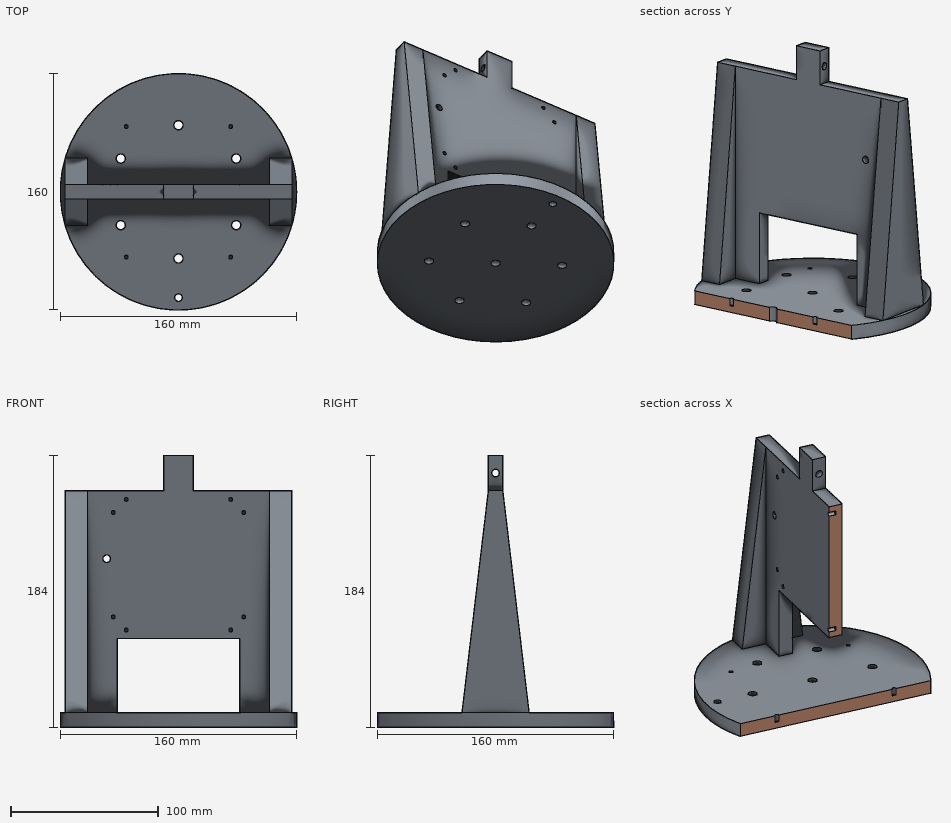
import cadquery as cq
import math

base_diameter = 160.0
base_thickness = 10.0

total_height = 184.0
tab_height = 24.0
plate_top = total_height - tab_height
plate_thickness = 10.0
plate_width = 153.5

window_width = 82.6
window_height = 50.0

rib_width = 15.0
rib_foot_half_depth = math.sqrt((base_diameter / 2) ** 2 - (plate_width / 2) ** 2)

tab_width = 20.0
locating_hole_diameter = 5.0

bolt_count = 6
bolt_circle_radius = 45.0
bolt_hole_diameter = 6.0
base_locating_y = -71.5

screw_hole_diameter = 2.5
screw_hole_depth = 5.0
screw_near = 35.3
screw_far = 44.2
plate_pattern_z = plate_top - 50.0

plate_locating_x = -48.5
plate_locating_z = 114.0


def mirrored(x, y):
    """Four points at every sign combination of x and y."""
    return [(sx * x, sy * y) for sx in (-1, 1) for sy in (-1, 1)]


def make_base():
    disc = cq.Workplane("XY").circle(base_diameter / 2).extrude(base_thickness)
    top = disc.faces(">Z").workplane(origin=(0, 0, base_thickness))
    drilled = top.polarArray(bolt_circle_radius, 90, 360, bolt_count).hole(bolt_hole_diameter)
    top = drilled.faces(">Z").workplane(origin=(0, 0, base_thickness))
    drilled = top.pushPoints([(0, base_locating_y)]).hole(locating_hole_diameter)
    top = drilled.faces(">Z").workplane(origin=(0, 0, base_thickness))
    drilled = top.hole(bolt_hole_diameter)
    screws = (
        cq.Workplane("XY", origin=(0, 0, base_thickness))
        .pushPoints(mirrored(screw_near, screw_far))
        .circle(screw_hole_diameter / 2)
        .extrude(-screw_hole_depth)
    )
    return drilled.cut(screws)


def make_plate():
    centered_xy = (True, True, False)
    on_base = cq.Workplane("XY", origin=(0, 0, base_thickness))
    plate = on_base.box(plate_width, plate_thickness, plate_top - base_thickness, centered=centered_xy)
    window = on_base.box(window_width, plate_thickness, window_height, centered=centered_xy)
    screws = (
        cq.Workplane("XZ", origin=(0, -plate_thickness / 2, plate_pattern_z))
        .pushPoints(mirrored(screw_near, screw_far) + mirrored(screw_far, screw_near))
        .circle(screw_hole_diameter / 2)
        .extrude(-screw_hole_depth)
    )
    locating_hole = (
        cq.Workplane("XZ")
        .center(plate_locating_x, plate_locating_z)
        .circle(locating_hole_diameter / 2)
        .extrude(plate_thickness, both=True)
    )
    return plate.cut(window).cut(screws).cut(locating_hole)


def make_rib(start_x):
    """Trapezoidal rib, from start_x towards +X, narrowing to the plate thickness."""
    return (
        cq.Workplane("YZ", origin=(start_x, 0, 0))
        .moveTo(-rib_foot_half_depth, base_thickness)
        .lineTo(rib_foot_half_depth, base_thickness)
        .lineTo(plate_thickness / 2, plate_top)
        .lineTo(-plate_thickness / 2, plate_top)
        .close()
        .extrude(rib_width)
    )


def make_tab():
    tab = cq.Workplane("XY", origin=(0, 0, plate_top)).box(
        tab_width, plate_thickness, tab_height, centered=(True, True, False)
    )
    cross_hole = (
        cq.Workplane("YZ", origin=(0, 0, plate_top + tab_height / 2))
        .circle(locating_hole_diameter / 2)
        .extrude(tab_width, both=True)
    )
    return tab.cut(cross_hole)


body = make_base().union(make_plate()).union(make_tab())
for rib_start in (-plate_width / 2, plate_width / 2 - rib_width):
    body = body.union(make_rib(rib_start))

result = body